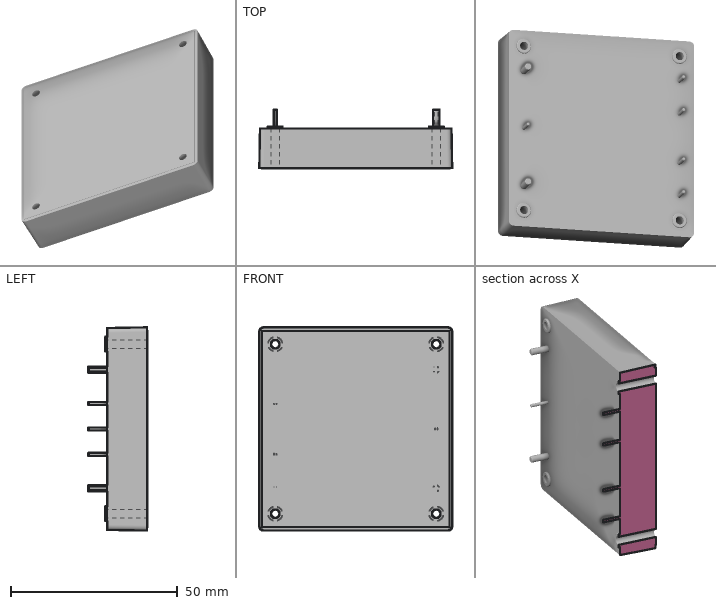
import cadquery as cq


case_width = 57.9
case_height = 61.0
overall_depth = 17.78

rim_step = 0.12
seam_depth = 11.35
back_depth = 12.1
boss_end_depth = 12.7

side_draft = 0.2
corner_radius = 1.5

panel_side_margin = 0.9
panel_end_margin = 1.1

mount_spacing_x = 48.26
mount_spacing_z = 50.8
mount_hole_diameter = 2.5
boss_diameter = 4.5
boss_chamfer = 0.2

pin_row_spacing = mount_spacing_x
small_pin_diameter = 1.0
large_pin_diameter = 2.0
pin_chamfer = 0.2
outer_pin_z = 17.78
inner_pin_z = 7.62
small_pin_places = [
    (-pin_row_spacing / 2, outer_pin_z),
    (-pin_row_spacing / 2, inner_pin_z),
    (-pin_row_spacing / 2, -inner_pin_z),
    (-pin_row_spacing / 2, -outer_pin_z),
    (pin_row_spacing / 2, 0),
]
large_pin_places = [
    (pin_row_spacing / 2, outer_pin_z),
    (pin_row_spacing / 2, -outer_pin_z),
]

mount_places = [
    (side_x * mount_spacing_x / 2, side_z * mount_spacing_z / 2)
    for side_x in (-1, 1)
    for side_z in (-1, 1)
]


def plane_at(depth):
    """Sketch plane at a depth: local x is X, local y is Z, and the normal points toward -Y."""
    return cq.Workplane("XZ", origin=(0, depth, 0))


def rounded_outline(inset):
    """Case cross-section, drawn in from the front outline on every side."""
    return cq.Sketch().rect(case_width - 2 * inset, case_height - 2 * inset).vertices().fillet(corner_radius)


def make_case():
    """Body tapering from the front rim to the seam, closed by a straight-sided base plate."""
    body = (
        plane_at(rim_step)
        .placeSketch(
            rounded_outline(0),
            rounded_outline(side_draft).moved(cq.Location(cq.Vector(0, 0, rim_step - seam_depth))),
        )
        .loft()
    )
    base_plate = plane_at(seam_depth).placeSketch(rounded_outline(side_draft)).extrude(seam_depth - back_depth)
    return body.union(base_plate)


def make_front_panel():
    """Square-cornered panel standing proud of the front rim."""
    panel_width = case_width - 2 * panel_side_margin
    panel_height = case_height - 2 * panel_end_margin
    return plane_at(0).rect(panel_width, panel_height).extrude(-rim_step)


def make_posts(places, diameter, end_depth, chamfer):
    """Round posts rooted at the seam, with a chamfered end toward +Y."""
    return (
        plane_at(seam_depth)
        .pushPoints(places)
        .circle(diameter / 2)
        .extrude(seam_depth - end_depth)
        .faces(">Y")
        .chamfer(chamfer)
    )


def make_mount_holes():
    """Cutters through the whole depth of the module."""
    return plane_at(0).pushPoints(mount_places).circle(mount_hole_diameter / 2).extrude(-overall_depth)


result = (
    make_case()
    .union(make_front_panel())
    .union(make_posts(mount_places, boss_diameter, boss_end_depth, boss_chamfer))
    .union(make_posts(small_pin_places, small_pin_diameter, overall_depth, pin_chamfer))
    .union(make_posts(large_pin_places, large_pin_diameter, overall_depth, pin_chamfer))
    .cut(make_mount_holes())
)